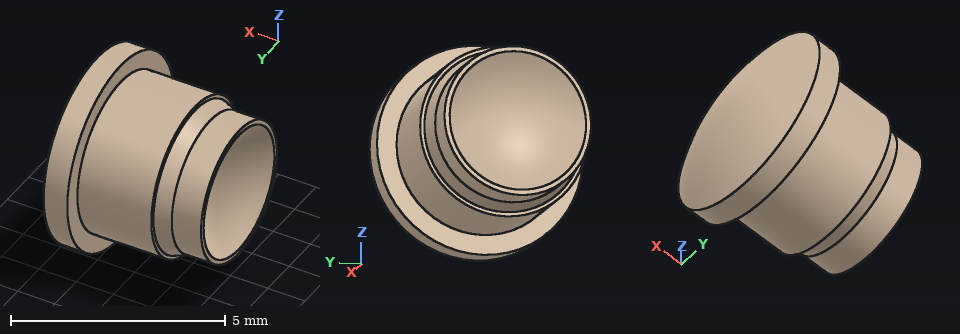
import cadquery as cq

head_diameter = 5.0
body_diameter = 4.05
cone_end_diameter = 3.85
nose_diameter = 3.56
dish_diameter = 3.31

nose_length = 0.785
cone_length = 0.41
body_length = 1.985
rim_length = 0.64
dome_height = 0.63
dish_depth = 0.6

cone_start = nose_length
body_start = cone_start + cone_length
rim_start = body_start + body_length
dome_start = rim_start + rim_length
dome_tip = dome_start + dome_height


def sphere_radius(rim_diameter, height):
    """Radius of the sphere whose cap has the given rim diameter and height."""
    rim_radius = rim_diameter / 2
    return (rim_radius**2 + height**2) / (2 * height)


def half_arc_point(rim_diameter, height):
    """Return a point on the cap halfway out: its radius and its height above the rim."""
    radius = sphere_radius(rim_diameter, height)
    distance = rim_diameter / 4
    rise = (radius**2 - distance**2) ** 0.5 - (radius - height)
    return distance, rise


dome_mid_radius, dome_mid_rise = half_arc_point(head_diameter, dome_height)

half_section = (
    cq.Workplane("XY")
    .lineTo(0, nose_diameter / 2)
    .lineTo(cone_start, nose_diameter / 2)
    .lineTo(body_start, cone_end_diameter / 2)
    .lineTo(body_start, body_diameter / 2)
    .lineTo(rim_start, body_diameter / 2)
    .lineTo(rim_start, head_diameter / 2)
    .lineTo(dome_start, head_diameter / 2)
    .threePointArc((dome_start + dome_mid_rise, dome_mid_radius), (dome_tip, 0))
    .close()
)

plug = half_section.revolve(360, (0, 0, 0), (1, 0, 0))

dish_radius = sphere_radius(dish_diameter, dish_depth)
dish_plane = cq.Plane(origin=(dish_depth - dish_radius, 0, 0), xDir=(-1, 0, 0), normal=(0, 1, 0))
dish = cq.Workplane(dish_plane).sphere(dish_radius)

result = plug.cut(dish)